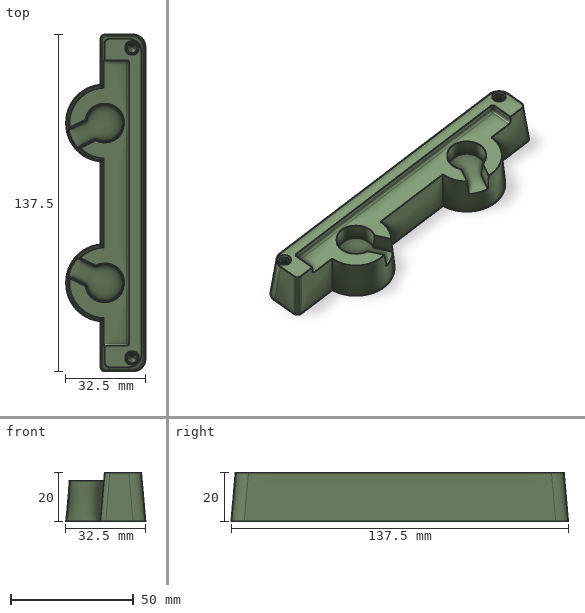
import cadquery as cq
import math

LENGTH = 137.5
BODY_WIDTH = 18.4
HEIGHT = 20.0
DRAFT = 5.0
OUTER_CORNER_RADIUS = 5.2
INNER_CORNER_RADIUS = 2.0

LEDGE_DEPTH = 3.3
LEDGE_BACK_X = 11.7
LEDGE_LENGTH = 116.6
LEDGE_FILLET = 1.1

BOSS_FOOT_RADIUS = 15.8
BOSS_Y = 32.6

POCKET_RADIUS = 8.0
POCKET_DEPTH = 6.9
SLOT_WIDTH = 9.4
SLOT_ANGLE = 26.5

HOLE_DIAMETER = 4.3
HOLE_RIM_DIAMETER = 5.6
HOLE_DEPTH = 8.2
HOLE_TIP_ANGLE = 118.0
HOLE_X = 12.9
HOLE_Y = 63.2

LEDGE_Z = HEIGHT - LEDGE_DEPTH
DRAFT_SLOPE = math.tan(math.radians(DRAFT))
BOSS_X = HEIGHT * DRAFT_SLOPE


def make_body():
    """Drafted bar with rounded upright corners."""
    bar = (
        cq.Workplane("XY")
        .center(BODY_WIDTH / 2, 0)
        .rect(BODY_WIDTH, LENGTH)
        .extrude(HEIGHT, taper=DRAFT)
    )
    bar = bar.edges("not(#Z)").edges(">X").fillet(OUTER_CORNER_RADIUS)
    return bar.edges("not(#Z)").edges("<X").fillet(INNER_CORNER_RADIUS)


def make_ledge_cutter():
    """Block with rounded upright and lower edges that clears the ledge."""
    return (
        cq.Workplane("XY", origin=(0, 0, LEDGE_Z))
        .rect(2 * LEDGE_BACK_X, LEDGE_LENGTH)
        .extrude(2 * LEDGE_DEPTH)
        .edges("|Z or <Z")
        .fillet(LEDGE_FILLET)
    )


def make_boss(y):
    """Drafted round boss reaching up to the ledge."""
    return (
        cq.Workplane("XY", origin=(BOSS_X, y, 0))
        .circle(BOSS_FOOT_RADIUS)
        .extrude(LEDGE_Z, taper=DRAFT)
    )


def make_keyhole(y):
    """Drafted round seat and the slot running from it out of the boss, towards mid-length."""
    seat = (
        cq.Workplane("XY", origin=(BOSS_X, y, LEDGE_Z))
        .circle(POCKET_RADIUS)
        .extrude(-POCKET_DEPTH, taper=DRAFT)
    )
    slot_length = 2 * BOSS_FOOT_RADIUS
    slot = (
        cq.Workplane("XY", origin=(BOSS_X, y, LEDGE_Z))
        .center(-slot_length / 2, 0)
        .rect(slot_length, SLOT_WIDTH)
        .extrude(-POCKET_DEPTH, taper=DRAFT)
    )
    turn = math.copysign(SLOT_ANGLE, y)
    slot = slot.rotate((BOSS_X, y, 0), (BOSS_X, y, 1), turn)
    return seat.union(slot)


def make_screw_hole(y):
    """Blind hole with a 45 degree countersink and a conical tip."""
    radius = HOLE_DIAMETER / 2
    rim_radius = HOLE_RIM_DIAMETER / 2
    tip_length = radius / math.tan(math.radians(HOLE_TIP_ANGLE / 2))
    profile = (
        cq.Workplane("XZ", origin=(HOLE_X, y, HEIGHT))
        .lineTo(rim_radius, 0)
        .lineTo(radius, radius - rim_radius)
        .lineTo(radius, -HOLE_DEPTH)
        .lineTo(0, -HOLE_DEPTH - tip_length)
        .close()
    )
    return profile.revolve(360, (0, 0, 0), (0, 1, 0))


result = make_body().cut(make_ledge_cutter())

for side in (-1, 1):
    result = result.union(make_boss(side * BOSS_Y))
    result = result.cut(make_keyhole(side * BOSS_Y))
    result = result.cut(make_screw_hole(side * HOLE_Y))